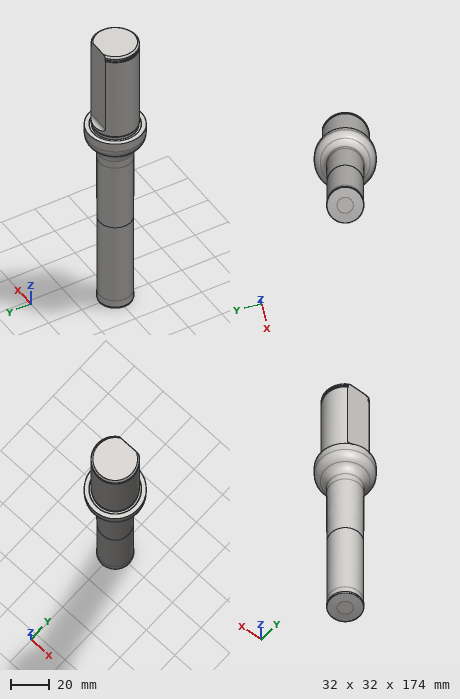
import cadquery as cq

TOTAL_LENGTH = 174.0
JOINT_Z = 55.3
NECK_TOP_Z = 96.2
COLLAR_TOP_Z = 100.7
FLANGE_BOTTOM_Z = 113.0
FLANGE_TOP_Z = 118.1

SHANK_DIA = 25.0
RELIEF_DIA = 24.5
FLANGE_DIA = 32.0
COLLAR_DIA = 19.3
NECK_DIA = 19.0
TIP_DIA = 19.0
TIP_HEAD_DIA = 19.3

END_CHAMFER_HEIGHT = 1.0
END_CHAMFER_WIDTH = 1.0
GROOVE_TOP_Z = 171.7
GROOVE_BOTTOM_Z = 170.7

UNDERCUT_TOP_Z = 120.2
UNDERCUT_SLOPE_HEIGHT = 0.7
FACE_RECESS_DIA = 27.1
FACE_RECESS_DEPTH = 0.26

FLAT_Y = 10.3
FLAT_BOTTOM_Z = 122.0
FLAT_END_RADIUS = 2.5

HEAD_TOP_Z = 5.4
HEAD_WIDEST_Z = 1.2
RIM_DIA = 18.8
RIM_Z = 0.3
END_FACE_DIA = 8.4


def revolve_profile(profile):
    """Turn a closed radius-height outline about the Z axis."""
    return profile.close().revolve(360, (0, 0, 0), (0, 1, 0))


def flange_flare(profile):
    """Continue an outline from the collar to the flange with two tangent arcs."""
    inner_r = COLLAR_DIA / 2
    width = FLANGE_DIA / 2 - inner_r
    height = FLANGE_BOTTOM_Z - COLLAR_TOP_Z
    middle = (inner_r + width / 2, COLLAR_TOP_Z + height / 2)
    outer = (FLANGE_DIA / 2, FLANGE_BOTTOM_Z)
    return profile.tangentArcPoint(middle, relative=False).tangentArcPoint(outer, relative=False)


def make_shank_flat():
    """Cutter for the flat, with a concave round at its lower end."""
    flat_depth = SHANK_DIA / 2 - FLAT_Y
    run_out = (FLAT_END_RADIUS**2 - (FLAT_END_RADIUS - flat_depth) ** 2) ** 0.5
    block = cq.Workplane("XY").box(
        SHANK_DIA, SHANK_DIA, TOTAL_LENGTH - FLAT_BOTTOM_Z - run_out, centered=(True, False, False)
    ).translate((0, FLAT_Y, FLAT_BOTTOM_Z + run_out))
    round_end = (
        cq.Workplane("YZ")
        .center(FLAT_Y + FLAT_END_RADIUS, FLAT_BOTTOM_Z + run_out)
        .circle(FLAT_END_RADIUS)
        .extrude(SHANK_DIA / 2, both=True)
    )
    return block.union(round_end)


def make_holder():
    """Shank, flange and neck."""
    shank_r = SHANK_DIA / 2
    relief_r = RELIEF_DIA / 2
    recess_r = FACE_RECESS_DIA / 2
    recess_z = FLANGE_TOP_Z - FACE_RECESS_DEPTH
    profile = (
        cq.Workplane("XZ")
        .moveTo(0, JOINT_Z)
        .lineTo(NECK_DIA / 2, JOINT_Z)
        .lineTo(COLLAR_DIA / 2, NECK_TOP_Z)
        .lineTo(COLLAR_DIA / 2, COLLAR_TOP_Z)
    )
    profile = (
        flange_flare(profile)
        .lineTo(FLANGE_DIA / 2, FLANGE_TOP_Z)
        .lineTo(recess_r, FLANGE_TOP_Z)
        .lineTo(recess_r - FACE_RECESS_DEPTH, recess_z)
        .lineTo(relief_r, recess_z)
        .lineTo(relief_r, UNDERCUT_TOP_Z - UNDERCUT_SLOPE_HEIGHT)
        .lineTo(shank_r, UNDERCUT_TOP_Z)
        .lineTo(shank_r, GROOVE_BOTTOM_Z)
        .lineTo(relief_r, GROOVE_BOTTOM_Z)
        .lineTo(relief_r, GROOVE_TOP_Z)
        .lineTo(shank_r, GROOVE_TOP_Z)
        .lineTo(shank_r, TOTAL_LENGTH - END_CHAMFER_HEIGHT)
        .lineTo(shank_r - END_CHAMFER_WIDTH, TOTAL_LENGTH)
        .lineTo(0, TOTAL_LENGTH)
    )
    return revolve_profile(profile).cut(make_shank_flat())


def make_tip():
    """Round tip below the neck, slightly wider at its head, with a bevelled rim and shallow conical end."""
    profile = (
        cq.Workplane("XZ")
        .lineTo(END_FACE_DIA / 2, 0)
        .lineTo(RIM_DIA / 2, RIM_Z)
        .lineTo(TIP_HEAD_DIA / 2, HEAD_WIDEST_Z)
        .lineTo(TIP_DIA / 2, HEAD_TOP_Z)
        .lineTo(TIP_DIA / 2, JOINT_Z)
        .lineTo(0, JOINT_Z)
    )
    return revolve_profile(profile)


holder = make_holder()
tip = make_tip()

result = cq.Compound.makeCompound([holder.val(), tip.val()])